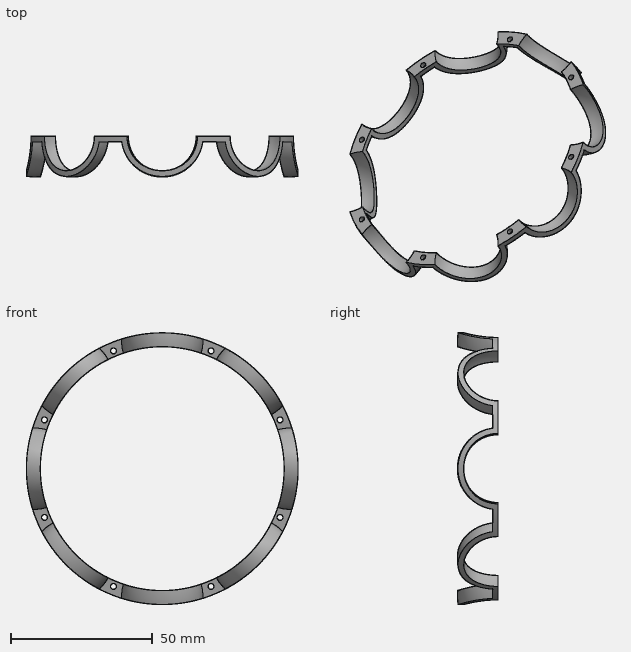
import cadquery as cq

outer_diameter = 96.0
inner_diameter = 86.0
pitch_radius = 45.0
arch_count = 8
arch_outer_radius = 14.5
wall = 2.0
hole_diameter = 2.0

inner_radius = inner_diameter / 2
ring_width = (outer_diameter - inner_diameter) / 2
arch_inner_radius = arch_outer_radius - wall
arch_step = 360.0 / arch_count
dome_blank_depth = 2 * arch_outer_radius


def rotate_about_y(shape, angle):
    """The shape turned about the ring axis."""
    return shape.rotate((0, 0, 0), (0, 1, 0), angle)


def ring_sector(depth):
    """One arch step of the ring, centred on +Z, from the plane Y = 0 to Y = -depth."""
    sector = (
        cq.Workplane("YZ")
        .moveTo(-depth, inner_radius)
        .rect(depth, ring_width, centered=False)
        .revolve(arch_step, (0, 0), (1, 0))
    )
    return rotate_about_y(sector, -arch_step / 2)


def ball(radius):
    """Ball centred on the back plane Y = 0, at the top of the pitch circle."""
    return cq.Workplane("XY").sphere(radius).translate((0, 0, pitch_radius))


def arch_sector():
    """Domed arch with half a flange on each side, hollowed through to the back plane."""
    dome = ring_sector(dome_blank_depth).intersect(ball(arch_outer_radius))
    return ring_sector(wall).union(dome).cut(ball(arch_inner_radius))


def screw_hole():
    """Cylinder through a flange, at the top of the pitch circle."""
    return (
        cq.Workplane("XZ")
        .center(0, pitch_radius)
        .circle(hole_diameter / 2)
        .extrude(wall)
    )


first_sector = arch_sector()
result = first_sector
for index in range(1, arch_count):
    result = result.union(rotate_about_y(first_sector, index * arch_step))

for index in range(arch_count):
    result = result.cut(rotate_about_y(screw_hole(), (index + 0.5) * arch_step))